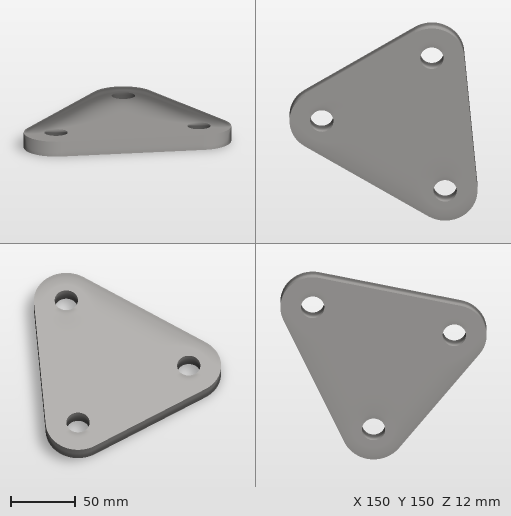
import cadquery as cq
import math

plate_size = 150.0
thickness = 12.0
hole_diameter = 18.0

corner_radius = plate_size / 6
hole_spacing = plate_size - 2 * corner_radius
half_spacing = hole_spacing / 2

top_left = (-half_spacing, half_spacing)
top_right = (half_spacing, half_spacing)
bottom = (0, -half_spacing)

side_angle = math.degrees(math.atan2(-half_spacing, hole_spacing))


def corner_point(center, angle):
    """Point on the rounded corner about center, at an angle in degrees from +X."""
    radians = math.radians(angle)
    return (
        center[0] + corner_radius * math.cos(radians),
        center[1] + corner_radius * math.sin(radians),
    )


def add_corner(outline, center, start_angle, end_angle):
    """Continue the outline around one rounded corner."""
    middle_angle = (start_angle + end_angle) / 2
    return outline.threePointArc(
        corner_point(center, middle_angle), corner_point(center, end_angle)
    )


def make_plate():
    """Triangular plate whose straight sides are tangent to the rounded corners."""
    left_side_angle = 180 - side_angle
    outline = cq.Workplane("XY").moveTo(*corner_point(top_right, side_angle))
    outline = add_corner(outline, top_right, side_angle, 90)
    outline = outline.lineTo(*corner_point(top_left, 90))
    outline = add_corner(outline, top_left, 90, left_side_angle)
    outline = outline.lineTo(*corner_point(bottom, left_side_angle))
    outline = add_corner(outline, bottom, left_side_angle, 360 + side_angle)
    return outline.close().extrude(thickness)


def drill_holes(plate):
    """Through hole at the center of each rounded corner."""
    return (
        plate.faces(">Z")
        .workplane(origin=(0, 0, thickness))
        .pushPoints([top_left, top_right, bottom])
        .hole(hole_diameter)
    )


result = drill_holes(make_plate())